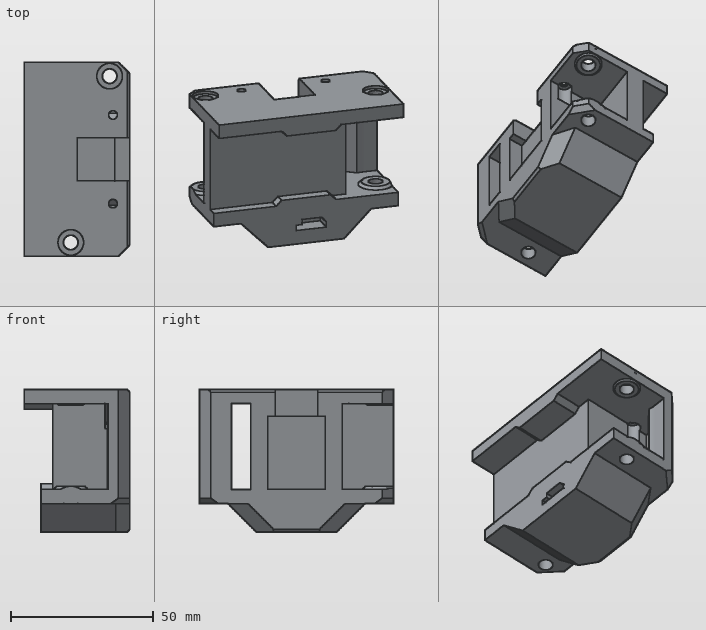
import cadquery as cq
import math

DEPTH = 37.0
LENGTH = 68
HALF_LENGTH = LENGTH / 2
HEIGHT = 50.0

FOOT_HEIGHT = 10.0
CAVITY_HEIGHT = 30.0
PLATE = (HEIGHT - FOOT_HEIGHT - CAVITY_HEIGHT) / 2
FLOOR_Z = FOOT_HEIGHT + PLATE
CEILING_Z = HEIGHT - PLATE
LOWER_FRONT_X = 5.85
FOOT_TOP_WIDTH = 48.0
FOOT_BACK_BEVEL = 4.95

CORNER_CHAMFER = 4.0
CORNER_FOOT_CHAMFER = 1.9
BACK_EDGE_CHAMFER = 0.95

BLOCK_FRONT_X = 10.0
BLOCK_SIDE_Y = 16.05
WALL_INNER_X = 29.4
WINDOW_OUTER_Y = 22.7

RIB_TIP_Y = 26.45
RIB_END_X = 32.0

PAD_HEIGHT = 2.0
PAD_BASE_WIDTH = 22.2
PAD_TIP_WIDTH = 17.95

NOTCH_X = 18.55
NOTCH_WIDTH = 15.0
NOTCH_FLOOR_Z = 40.6
SLOT_X = 31.75
SLOT_WIDTH = 20.0

SCREW_Y = 29.1
SCREW_X_OPEN_SIDE = 16.3
SCREW_X_BLOCK_SIDE = 29.9
SCREW_DIAMETER = 5.0
COUNTERBORE_DIAMETER = 9.0
COUNTERBORE_DEPTH = 1.0
SCREWS = [(SCREW_X_OPEN_SIDE, -SCREW_Y), (SCREW_X_BLOCK_SIDE, SCREW_Y)]
WALL_CLEARANCE = WALL_INNER_X - SCREW_X_OPEN_SIDE

LOWER_BOSS_BASE = 12.25
LOWER_BOSS_TIP = 10.0
LOWER_BOSS_HEIGHT = 1.0
UPPER_BOSS_BASE = 9.5
UPPER_BOSS_TIP = 8.3
UPPER_BOSS_HEIGHT = 0.6

PIN_X = 31.1
PIN_Y = 15.5
PIN_DIAMETER = 3.0
CHAMBER_DIAMETER = 5.6
CHAMBER_ROOF = 1.0
RAMP_LOW_Z = 36.2

PORT_DEPTH = 6.8
PORT_RIGHT_Y = -7.5
PORT_LEFT_Y = 3.6
PORT_STEP_Y = 1.4
PORT_CHAMFER_Y = -5.6
PORT_BOTTOM_Z = 5.1
PORT_STEP_Z = 7.1
PORT_TOP_Z = 9.0


def box(x0, x1, y0, y1, z0, z1):
    """Axis-aligned box given by its limits."""
    return cq.Workplane("XY").box(x1 - x0, y1 - y0, z1 - z0, centered=False).translate((x0, y0, z0))


def extrude_x(points, x0, x1):
    """Prism along X from a (y, z) outline."""
    return cq.Workplane("YZ", origin=(x0, 0, 0)).polyline(points).close().extrude(x1 - x0)


def body():
    """Solid outline of the part: plates, wall and block in one, plus the tapered foot."""
    upper = box(0, DEPTH, -HALF_LENGTH, HALF_LENGTH, FOOT_HEIGHT, HEIGHT)
    upper = upper.edges("|Z and >X").chamfer(CORNER_CHAMFER)
    middle_x = DEPTH - CORNER_CHAMFER / 2
    middle_y = HALF_LENGTH - CORNER_CHAMFER / 2
    for side in (-1, 1):
        corner_edge = cq.selectors.NearestToPointSelector((middle_x, side * middle_y, FOOT_HEIGHT))
        upper = upper.edges(corner_edge).chamfer(CORNER_FOOT_CHAMFER)

    top_half = FOOT_TOP_WIDTH / 2
    bottom_half = top_half - FOOT_HEIGHT
    outline = [(-top_half, FOOT_HEIGHT), (-bottom_half, 0), (bottom_half, 0), (top_half, FOOT_HEIGHT)]
    foot = extrude_x(outline, LOWER_FRONT_X, DEPTH)
    foot = foot.edges(">X").edges("not #Z").chamfer(FOOT_BACK_BEVEL)

    front_setback = box(0, LOWER_FRONT_X, -HALF_LENGTH, HALF_LENGTH, FOOT_HEIGHT, CEILING_Z)
    solid = upper.cut(front_setback).union(foot)
    for edge_z in (0, HEIGHT):
        back_edge = cq.selectors.NearestToPointSelector((DEPTH, 0, edge_z))
        solid = solid.edges(back_edge).chamfer(BACK_EDGE_CHAMFER)
    return solid


def bays():
    """Open bays beside the block: one opens to the front, the other to the back."""
    front_strip = box(0, BLOCK_FRONT_X, -HALF_LENGTH, HALF_LENGTH, FLOOR_Z, CEILING_Z)
    front_bay = box(0, WALL_INNER_X, -HALF_LENGTH, -BLOCK_SIDE_Y, FLOOR_Z, CEILING_Z)
    bevel_gap = box(WALL_INNER_X, RIB_END_X, -RIB_TIP_Y, -WINDOW_OUTER_Y, FLOOR_Z, CEILING_Z)
    window = box(WALL_INNER_X, DEPTH, -WINDOW_OUTER_Y, -BLOCK_SIDE_Y, FLOOR_Z, CEILING_Z)
    back_bay_x = SCREW_X_BLOCK_SIDE - WALL_CLEARANCE
    back_bay = box(back_bay_x, DEPTH, BLOCK_SIDE_Y, HALF_LENGTH, FLOOR_Z, CEILING_Z)
    return front_strip.union(front_bay).union(bevel_gap).union(window).union(back_bay)


def rib_tip_x():
    """X of the point where the arc about the screw hole reaches the rib tip."""
    return SCREW_X_OPEN_SIDE + math.sqrt(WALL_CLEARANCE**2 - (SCREW_Y - RIB_TIP_Y) ** 2)


def rib():
    """Material between the wall face, the arc about the screw hole and the window slope."""
    middle_y = (SCREW_Y + RIB_TIP_Y) / 2
    middle_x = SCREW_X_OPEN_SIDE + math.sqrt(WALL_CLEARANCE**2 - (SCREW_Y - middle_y) ** 2)
    return (
        cq.Workplane("XY", origin=(0, 0, FLOOR_Z))
        .moveTo(WALL_INNER_X, -SCREW_Y)
        .threePointArc((middle_x, -middle_y), (rib_tip_x(), -RIB_TIP_Y))
        .lineTo(RIB_END_X, -WINDOW_OUTER_Y)
        .lineTo(RIB_END_X, -SCREW_Y)
        .close()
        .extrude(CAVITY_HEIGHT)
    )


def pads():
    """Trapezoidal thickening of both plates in front of the block."""
    base = PAD_BASE_WIDTH / 2
    tip = PAD_TIP_WIDTH / 2
    lower_tip_z = FLOOR_Z + PAD_HEIGHT
    upper_tip_z = CEILING_Z - PAD_HEIGHT
    lower = [(-base, FLOOR_Z), (-tip, lower_tip_z), (tip, lower_tip_z), (base, FLOOR_Z)]
    upper = [(-base, CEILING_Z), (-tip, upper_tip_z), (tip, upper_tip_z), (base, CEILING_Z)]
    lower_pad = extrude_x(lower, LOWER_FRONT_X, BLOCK_FRONT_X)
    upper_pad = extrude_x(upper, 0, BLOCK_FRONT_X)
    return lower_pad.union(upper_pad)


def cone(x, y, z, direction, base, tip, height):
    """Frustum standing on (x, y, z), pointing up (1) or down (-1)."""
    origin = cq.Vector(x, y, z)
    return cq.Workplane(cq.Solid.makeCone(base / 2, tip / 2, height, origin, cq.Vector(0, 0, direction)))


def bosses():
    """Conical bosses around both screw holes, trimmed to the outline of the body."""
    group = cq.Workplane()
    for x, y in SCREWS:
        group = group.add(cone(x, y, FLOOR_Z, 1, LOWER_BOSS_BASE, LOWER_BOSS_TIP, LOWER_BOSS_HEIGHT))
        group = group.add(cone(x, y, CEILING_Z, -1, UPPER_BOSS_BASE, UPPER_BOSS_TIP, UPPER_BOSS_HEIGHT))
    return group.combine().intersect(body())


def screw_holes():
    holes = cq.Workplane("XY").pushPoints(SCREWS).circle(SCREW_DIAMETER / 2).extrude(HEIGHT)
    bore_plane = cq.Workplane("XY", origin=(0, 0, HEIGHT - COUNTERBORE_DEPTH))
    bores = bore_plane.pushPoints(SCREWS).circle(COUNTERBORE_DIAMETER / 2).extrude(COUNTERBORE_DEPTH)
    return holes.union(bores)


def latch_recess():
    notch_half = NOTCH_WIDTH / 2
    slot_half = SLOT_WIDTH / 2
    notch = box(NOTCH_X, DEPTH, -notch_half, notch_half, NOTCH_FLOOR_Z, HEIGHT)
    slot = box(SLOT_X, DEPTH, -slot_half, slot_half, FLOOR_Z, NOTCH_FLOOR_Z)
    return notch.union(slot)


def pin_channel(side):
    """Pin hole in the upper plate above a round chamber whose floor ramps out of the block."""
    chamber_radius = CHAMBER_DIAMETER / 2
    chamber_top_z = HEIGHT - CHAMBER_ROOF
    axis_base = cq.Workplane("XY", origin=(PIN_X, side * PIN_Y, 0))
    hole = axis_base.circle(PIN_DIAMETER / 2).extrude(HEIGHT)
    chamber = axis_base.circle(chamber_radius).extrude(chamber_top_z)

    inner_y = PIN_Y - chamber_radius
    outer_y = PIN_Y + chamber_radius
    inner_z = RAMP_LOW_Z + BLOCK_SIDE_Y - inner_y
    above_ramp = [
        (side * outer_y, RAMP_LOW_Z),
        (side * BLOCK_SIDE_Y, RAMP_LOW_Z),
        (side * inner_y, inner_z),
        (side * inner_y, HEIGHT),
        (side * outer_y, HEIGHT),
    ]
    return hole.union(chamber).intersect(extrude_x(above_ramp, 0, DEPTH))


def foot_port():
    outline = [
        (PORT_RIGHT_Y, PORT_BOTTOM_Z),
        (PORT_RIGHT_Y, PORT_STEP_Z),
        (PORT_CHAMFER_Y, PORT_TOP_Z),
        (PORT_STEP_Y, PORT_TOP_Z),
        (PORT_STEP_Y, PORT_STEP_Z),
        (PORT_LEFT_Y, PORT_STEP_Z),
        (PORT_LEFT_Y, PORT_BOTTOM_Z),
    ]
    return extrude_x(outline, LOWER_FRONT_X, LOWER_FRONT_X + PORT_DEPTH)


result = body().cut(bays()).union(rib()).union(pads()).union(bosses())
result = result.cut(screw_holes()).cut(latch_recess()).cut(foot_port())
for side in (-1, 1):
    result = result.cut(pin_channel(side))